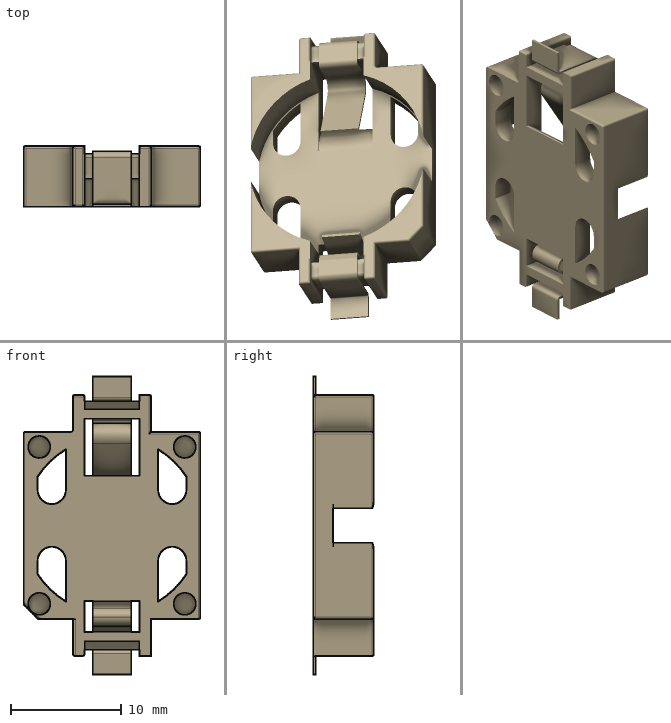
import cadquery as cq
import math


DEPTH = 5.5
HALF_WIDTH = 16.0 / 2
HALF_HEIGHT = 8.48
EAR_HALF_WIDTH = 3.55
EAR_TOP = 11.83
GAP_HALF_WIDTH = 2.48
CORNER_CUT = 1.32
EDGE_RADIUS = 0.2

WALL_INNER = 9.65
CROSSBAR_OUTER = 10.5
WALL_OUTER = 11.25
WALL_DEPTH = 4.8
CROSSBAR_DEPTH = 2.55
WALL_EDGE_RADIUS = 0.32

FLOOR = 1.8
CAVITY_RADIUS = 8.15
TOP_WINDOW_START = 4.5
BOTTOM_WINDOW_START = 6.85
RAMP_EDGE = 0.2
RAMP_LENGTH = 2.35
RAMP_RADIUS = 2.5
SLOT_WIDTH = 2.55
SLOT_X = 5.45
SLOT_END_Z = 3.2
SLOT_LIMIT_RADIUS = 8.05
PEG_HOLE_DIAMETER = 2.0
PEG_HOLE_DEPTH = 2.0
PEG_HOLE_X = 6.6
PEG_HOLE_Z = 7.1

STRIP_WIDTH = 3.5
STRIP = 0.25
TAB_BEND_RADIUS = 0.08
TAB_END = 13.5

UPPER_LEG_Z = 9.23
UPPER_LEG_BEND_RADIUS = 0.27
UPPER_LOOP_RADIUS = 1.15
UPPER_LOOP_REACH = 1.08
UPPER_LOOP_ANGLE = 123
UPPER_CONTACT_LENGTH = 5.3

LEAN_ANGLE = 27
LEAN_LENGTH = 0.45
LEAN_BEND_RADIUS = 0.08
LOWER_LEG_LENGTH = 3.62
LOWER_LEG_BEND_RADIUS = 0.14
LOWER_LOOP_RADIUS = 0.78
LOWER_LOOP_FLAT = 0.08
LOWER_CONTACT_TILT = 75
LOWER_CONTACT_LENGTH = 3.25


def block(x_half, y_range, z_range):
    """Box centred on X = 0 between the given Y and Z limits."""
    y_start, y_end = y_range
    z_start, z_end = z_range
    return cq.Workplane("XY").box(
        2 * x_half, y_end - y_start, z_end - z_start, centered=(True, False, False)
    ).translate((0, y_start, z_start))


def extrude_depth(sketch, depth):
    """Extrude an XZ sketch from the mounting face toward +Y."""
    return sketch.extrude(-depth)


def ear_outline(side):
    """Corner points of one ear pair, from +X to -X at the top (side = 1)."""
    right_half = [
        (EAR_HALF_WIDTH, HALF_HEIGHT),
        (EAR_HALF_WIDTH, EAR_TOP),
        (GAP_HALF_WIDTH, EAR_TOP),
        (GAP_HALF_WIDTH, WALL_INNER),
    ]
    left_half = [(-x, z) for x, z in reversed(right_half)]
    return [(side * x, side * z) for x, z in right_half + left_half]


def edges_near(body, midpoints):
    """Edges of the body whose midpoints are nearest to the given points."""
    return [body.edges(cq.selectors.NearestToPointSelector(point)).val() for point in midpoints]


def make_shell():
    """Outer block with ears, polarity corner and rounded edges."""
    corners = (
        [(HALF_WIDTH, -HALF_HEIGHT), (HALF_WIDTH, HALF_HEIGHT)]
        + ear_outline(1)
        + [
            (-HALF_WIDTH, HALF_HEIGHT),
            (-HALF_WIDTH, -HALF_HEIGHT + CORNER_CUT),
            (-HALF_WIDTH + CORNER_CUT, -HALF_HEIGHT),
        ]
        + ear_outline(-1)
    )
    shell = extrude_depth(cq.Workplane("XZ").polyline(corners).close(), DEPTH)

    ear_middle_x = (EAR_HALF_WIDTH + GAP_HALF_WIDTH) / 2
    ear_middle_z = (EAR_TOP + HALF_HEIGHT) / 2
    shoulder_x = (HALF_WIDTH + EAR_HALF_WIDTH) / 2
    cut_middle = CORNER_CUT / 2
    mounting_edges = [
        (HALF_WIDTH, 0, 0),
        (shoulder_x, 0, HALF_HEIGHT),
        (EAR_HALF_WIDTH, 0, ear_middle_z),
        (-ear_middle_x, 0, EAR_TOP),
        (-EAR_HALF_WIDTH, 0, -ear_middle_z),
        (-HALF_WIDTH + cut_middle, 0, -HALF_HEIGHT + cut_middle),
    ]
    upright_places = [
        (HALF_WIDTH, HALF_HEIGHT),
        (-HALF_WIDTH, HALF_HEIGHT),
        (HALF_WIDTH, -HALF_HEIGHT),
        (EAR_HALF_WIDTH, EAR_TOP),
        (-EAR_HALF_WIDTH, EAR_TOP),
        (-GAP_HALF_WIDTH, EAR_TOP),
        (-EAR_HALF_WIDTH, -EAR_TOP),
        (-GAP_HALF_WIDTH, -EAR_TOP),
        (-EAR_HALF_WIDTH, HALF_HEIGHT),
    ]
    upright_edges = [(x, DEPTH / 2, z) for x, z in upright_places]
    rim = shell.faces(">Y").edges().vals()
    return shell.newObject(rim + edges_near(shell, mounting_edges + upright_edges)).fillet(EDGE_RADIUS)


def make_wall():
    """Terminal wall between the upper ears: crossbar plus a deeper outer step."""
    crossbar = block(GAP_HALF_WIDTH, (0, WALL_DEPTH), (WALL_INNER, CROSSBAR_OUTER))
    step = block(GAP_HALF_WIDTH, (CROSSBAR_DEPTH, WALL_DEPTH), (WALL_INNER, WALL_OUTER))
    step = step.edges(">Y and >Z").fillet(WALL_EDGE_RADIUS)
    return crossbar.union(step)


def make_ramp_relief():
    """Space above the curved ramp that the floor forms at the upper window."""
    return (
        cq.Workplane("YZ")
        .moveTo(RAMP_EDGE, TOP_WINDOW_START)
        .radiusArc((FLOOR, TOP_WINDOW_START - RAMP_LENGTH), RAMP_RADIUS)
        .lineTo(FLOOR, TOP_WINDOW_START)
        .close()
        .extrude(GAP_HALF_WIDTH, both=True)
    )


def make_slots():
    """Four floor slots, round toward the middle and cut off by a circle outside."""
    mounting_face = cq.Workplane("XZ")
    length = HALF_HEIGHT - SLOT_END_Z
    limit = extrude_depth(mounting_face.circle(SLOT_LIMIT_RADIUS), FLOOR)
    centers = [(x, z) for x in (-SLOT_X, SLOT_X) for z in (-SLOT_END_Z, SLOT_END_Z)]
    round_ends = extrude_depth(mounting_face.pushPoints(centers).circle(SLOT_WIDTH / 2), FLOOR)
    straight_centers = [(x, math.copysign(SLOT_END_Z + length / 2, z)) for x, z in centers]
    straights = extrude_depth(mounting_face.pushPoints(straight_centers).rect(SLOT_WIDTH, length), FLOOR)
    return round_ends.union(straights).intersect(limit)


def make_peg_holes():
    """Blind round holes in the corners of the mounting face."""
    grid = cq.Workplane("XZ").rect(2 * PEG_HOLE_X, 2 * PEG_HOLE_Z, forConstruction=True)
    return extrude_depth(grid.vertices().circle(PEG_HOLE_DIAMETER / 2), PEG_HOLE_DEPTH)


def make_housing():
    upper_wall = make_wall()
    lower_wall = upper_wall.mirror("XY")
    cavity = extrude_depth(cq.Workplane("XZ").circle(CAVITY_RADIUS), DEPTH).translate((0, FLOOR, 0))
    upper_window = block(GAP_HALF_WIDTH, (0, DEPTH), (TOP_WINDOW_START, WALL_INNER))
    lower_window = block(GAP_HALF_WIDTH, (0, DEPTH), (-WALL_INNER, -BOTTOM_WINDOW_START))
    return (
        make_shell()
        .cut(cavity)
        .cut(upper_window)
        .cut(lower_window)
        .cut(make_ramp_relief())
        .cut(make_slots())
        .cut(make_peg_holes())
        .union(upper_wall)
        .union(lower_wall)
    )


def bend_strip(moves):
    """Sheet strip whose middle line starts at the tab end and runs toward -Z.

    Each move is (straight length, inside bend radius, bend angle); a positive
    angle turns the strip to the left, seen with +Y right and +Z up.
    """
    y = STRIP / 2
    z = TAB_END
    heading = -90
    path = cq.Workplane("YZ").moveTo(y, z)
    for length, inside_radius, angle in moves:
        y += length * math.cos(math.radians(heading))
        z += length * math.sin(math.radians(heading))
        path = path.lineTo(y, z)
        if angle:
            radius = inside_radius + STRIP / 2
            to_center = math.radians(heading + math.copysign(90, angle))
            center_y = y + radius * math.cos(to_center)
            center_z = z + radius * math.sin(to_center)
            middle = to_center + math.pi + math.radians(angle / 2)
            end = to_center + math.pi + math.radians(angle)
            middle_point = (center_y + radius * math.cos(middle), center_z + radius * math.sin(middle))
            y = center_y + radius * math.cos(end)
            z = center_z + radius * math.sin(end)
            path = path.threePointArc(middle_point, (y, z))
            heading += angle
    section = cq.Workplane("XY", origin=(0, STRIP / 2, TAB_END)).rect(STRIP_WIDTH, STRIP)
    return section.sweep(path)


def upper_spring():
    """Strip moves from the wall edge to the tip of the upper contact."""
    drop_length = WALL_OUTER - WALL_EDGE_RADIUS - UPPER_LEG_Z - UPPER_LEG_BEND_RADIUS
    leg_length = WALL_DEPTH - UPPER_LEG_BEND_RADIUS - UPPER_LOOP_REACH - UPPER_LOOP_RADIUS
    return [
        (drop_length, UPPER_LEG_BEND_RADIUS, -90),
        (leg_length, UPPER_LOOP_RADIUS - STRIP, UPPER_LOOP_ANGLE),
        (UPPER_CONTACT_LENGTH, 0, 0),
    ]


def lower_spring():
    """Strip moves from the wall edge to the tip of the lower contact."""
    drop_length = WALL_OUTER - WALL_EDGE_RADIUS - WALL_INNER
    loop_inside = LOWER_LOOP_RADIUS - STRIP
    return [
        (drop_length, LEAN_BEND_RADIUS, -LEAN_ANGLE),
        (LEAN_LENGTH, LOWER_LEG_BEND_RADIUS, LEAN_ANGLE - 90),
        (LOWER_LEG_LENGTH, loop_inside, 90),
        (LOWER_LOOP_FLAT, loop_inside, LOWER_CONTACT_TILT),
        (LOWER_CONTACT_LENGTH, 0, 0),
    ]


def make_terminal(spring):
    """Solder tab and saddle over the upper wall, continued by the given spring."""
    tab_outside = TAB_BEND_RADIUS + STRIP
    tab_length = TAB_END - WALL_OUTER - tab_outside
    saddle_length = WALL_DEPTH - WALL_EDGE_RADIUS - tab_outside
    saddle = [(tab_length, TAB_BEND_RADIUS, 90), (saddle_length, WALL_EDGE_RADIUS, -90)]
    return bend_strip(saddle + spring)


housing = make_housing().solids()
upper_terminal = make_terminal(upper_spring())
lower_terminal = make_terminal(lower_spring()).mirror("XY")

result = cq.Compound.makeCompound([housing.val(), upper_terminal.val(), lower_terminal.val()])